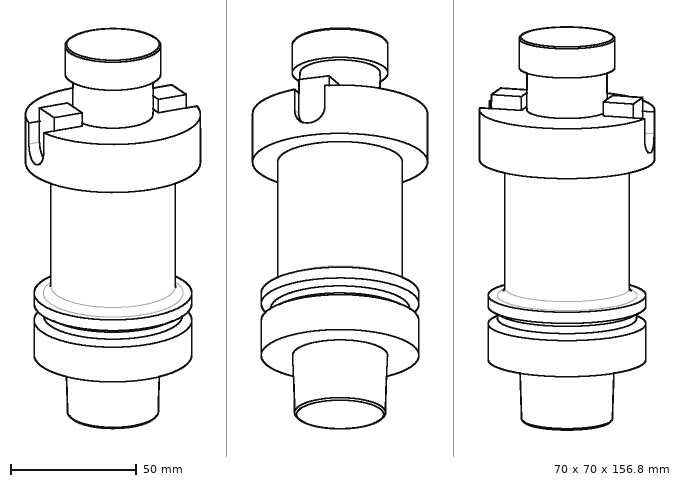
import cadquery as cq

head_radius = 19.1
head_chamfer = 0.6
neck_radius = 16.0

drive_flange_radius = 35.0
body_radius = 25.0
body_fillet = 3.0

gripper_radius = 31.5
groove_radius = 27.7
groove_chamfer = 2.0

shank_top_radius = 19.0
shank_bottom_radius = 18.2
shank_chamfer = 0.8

shank_top = 25.0
groove_bottom = 41.7
groove_top = 44.7
gripper_top = 51.3
drive_flange_bottom = 106.6
drive_flange_top = 127.0
neck_top = 144.2
total_height = 156.8

key_width = 12.9
key_inner = 17.1
key_outer = 29.6
key_top = 132.6
slot_bottom = 111.8
slot_overrun = 1.5


def turned_body():
    """Revolve the half profile around Z, from the shank up to the head."""
    fillet_drop = body_fillet * (1 - 0.5 ** 0.5)
    profile = (
        cq.Workplane("XZ")
        .moveTo(0, 0)
        .lineTo(shank_bottom_radius - shank_chamfer, 0)
        .lineTo(shank_bottom_radius, shank_chamfer)
        .lineTo(shank_top_radius, shank_top)
        .lineTo(gripper_radius, shank_top)
        .lineTo(gripper_radius, groove_bottom - groove_chamfer)
        .lineTo(groove_radius, groove_bottom)
        .lineTo(groove_radius, groove_top)
        .lineTo(gripper_radius, groove_top + groove_chamfer)
        .lineTo(gripper_radius, gripper_top)
        .lineTo(body_radius + body_fillet, gripper_top)
        .threePointArc(
            (body_radius + fillet_drop, gripper_top + fillet_drop),
            (body_radius, gripper_top + body_fillet),
        )
        .lineTo(body_radius, drive_flange_bottom)
        .lineTo(drive_flange_radius, drive_flange_bottom)
        .lineTo(drive_flange_radius, drive_flange_top)
        .lineTo(neck_radius, drive_flange_top)
        .lineTo(neck_radius, neck_top)
        .lineTo(head_radius, neck_top)
        .lineTo(head_radius, total_height - head_chamfer)
        .lineTo(head_radius - head_chamfer, total_height)
        .lineTo(0, total_height)
        .close()
    )
    return profile.revolve(360, (0, 0, 0), (0, 1, 0))


def round_bottomed_bar(y_start, y_end):
    """Bar along Y whose section is flat on top and a half circle below."""
    half_width = key_width / 2
    arc_center = slot_bottom + half_width
    return (
        cq.Workplane("XZ", origin=(0, y_start, 0))
        .moveTo(-half_width, key_top)
        .lineTo(-half_width, arc_center)
        .threePointArc((0, slot_bottom), (half_width, arc_center))
        .lineTo(half_width, key_top)
        .close()
        .extrude(y_start - y_end)
    )


result = turned_body()
for side in (-1, 1):
    slot = round_bottomed_bar(side * key_outer, side * (drive_flange_radius + slot_overrun))
    key = round_bottomed_bar(side * key_inner, side * key_outer)
    result = result.cut(slot).union(key)